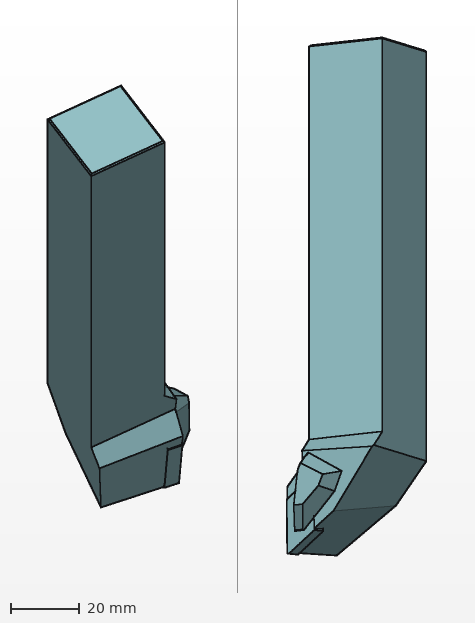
import cadquery as cq
import math

total_length = 150.0
shank_side = 24.9
shank_chamfer = 0.5
shank_bottom = 45.0
body_depth = 34.5

head_height = 36.0
left_corner_z = 28.5
left_slope = 1.18
right_corner_z = 25.2
front_nose_x = 30.5
front_nose_z = 3.5
nose_x_draft = 0.045
nose_z_draft = 0.12
lower_slope = 0.64
right_lean = 0.05

rake_y = 27.3
rake_dx = -0.055
rake_dz = 0.1
ramp_top_z = 33.3

insert_nose_x = 32.0
insert_nose_z = -0.4
insert_length = 16.2
insert_width_edge = 11.7
insert_thickness = 4.8
insert_nose_radius = 0.5

clamp_outline = [
    (11.4, 22.0), (14.3, 16.5), (25.7, 6.3),
    (28.8, 6.3), (25.4, 24.3), (22.8, 28.7),
]
clamp_draft = 24.0
clamp_height = 6.8
clamp_top_fall = 0.1
clamp_back_z = 26.4
clamp_front_z = 12.6
clamp_front_y = body_depth - clamp_top_fall * (clamp_back_z - clamp_front_z)


def rake_depth(x, z):
    return rake_y + rake_dx * x + rake_dz * z


rake_plane = cq.Plane(
    origin=(0, rake_y, 0),
    xDir=(1, rake_dx, 0),
    normal=(-rake_dx, 1, -rake_dz),
)


def on_rake(points):
    """Local rake-plane coordinates of points given by their x and z."""
    local_points = []
    for x, z in points:
        local = rake_plane.toLocalCoords(cq.Vector(x, rake_depth(x, z), z))
        local_points.append((local.x, local.y))
    return local_points


def head_outline(depth):
    """Closed head outline at the given depth, as a wire."""
    nose_x = front_nose_x + nose_x_draft * depth
    nose_z = front_nose_z - nose_z_draft * depth
    knee_x = (left_corner_z - nose_z - lower_slope * nose_x) / (left_slope - lower_slope)
    knee_z = left_corner_z - left_slope * knee_x
    shoulder_sum = shank_side + right_corner_z
    shoulder_z = (shoulder_sum - nose_x - right_lean * nose_z) / (1 - right_lean)
    shoulder_x = shoulder_sum - shoulder_z
    points = [
        (0, shank_bottom), (0, left_corner_z), (knee_x, knee_z), (nose_x, nose_z),
        (shoulder_x, shoulder_z), (shank_side, right_corner_z), (shank_side, shank_bottom),
    ]
    return cq.Wire.makePolygon([cq.Vector(x, depth, z) for x, z in points], close=True)


def make_shank():
    shank = cq.Workplane("XY").workplane(offset=shank_bottom)
    shank = shank.rect(shank_side, shank_side, centered=False)
    shank = shank.extrude(total_length - shank_bottom)
    return shank.faces(">Z").edges().chamfer(shank_chamfer)


def make_head():
    blank = cq.Workplane(cq.Solid.makeLoft([head_outline(0), head_outline(head_height)], True))
    above_rake = cq.Workplane(rake_plane).rect(total_length, total_length).extrude(head_height)
    ramp_drop = head_height - shank_side
    profile = (
        cq.Workplane("YZ")
        .polyline([
            (0, -head_height), (head_height, -head_height), (head_height, ramp_top_z - ramp_drop),
            (shank_side, ramp_top_z), (shank_side, shank_bottom), (0, shank_bottom),
        ])
        .close()
        .extrude(2 * shank_side)
    )
    return blank.cut(above_rake).intersect(profile)


def make_clamp():
    clamp = cq.Workplane(rake_plane).polyline(on_rake(clamp_outline)).close()
    clamp = clamp.extrude(clamp_height, taper=clamp_draft)
    top_limit = (
        cq.Workplane("YZ")
        .polyline([
            (0, clamp_front_z - clamp_front_y), (clamp_front_y, clamp_front_z),
            (body_depth, clamp_back_z), (body_depth, shank_bottom), (0, shank_bottom),
        ])
        .close()
        .extrude(2 * shank_side)
    )
    return clamp.intersect(top_limit)


def make_insert():
    right_scale = insert_length / math.hypot(1, right_lean)
    lower_scale = insert_width_edge / math.hypot(1, lower_slope)
    right_step = (-right_lean * right_scale, right_scale)
    lower_step = (-lower_scale, lower_slope * lower_scale)
    nose = (insert_nose_x, insert_nose_z)
    right_end = (nose[0] + right_step[0], nose[1] + right_step[1])
    lower_end = (nose[0] + lower_step[0], nose[1] + lower_step[1])
    far_corner = (right_end[0] + lower_step[0], right_end[1] + lower_step[1])
    insert = cq.Workplane(rake_plane).polyline(on_rake([nose, right_end, far_corner, lower_end]))
    insert = insert.close().extrude(-insert_thickness)
    nose_edge = insert.edges(cq.selectors.ParallelDirSelector(rake_plane.zDir)).edges("<Z")
    return nose_edge.fillet(insert_nose_radius)


insert = make_insert()
holder = make_shank().union(make_head()).union(make_clamp()).cut(insert)

result = cq.Compound.makeCompound([*holder.solids().vals(), *insert.solids().vals()])